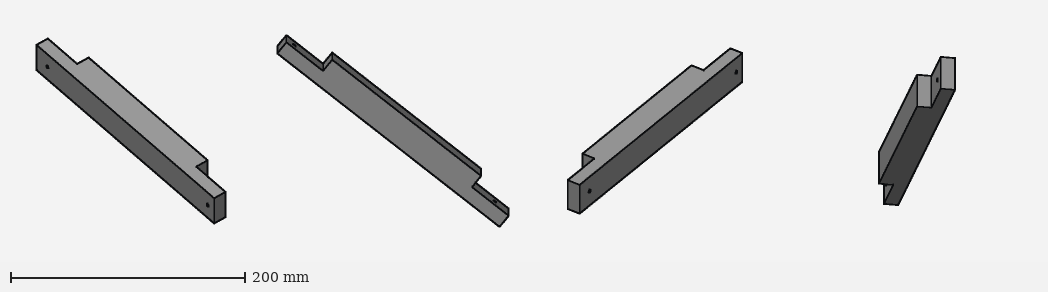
import cadquery as cq

length = 243.0
depth = 25.0
height = 30.0

plate_thickness = depth / 2
end_step = 40.0
block_length = length - 2 * end_step

hole_diameter = 3.0
left_hole_distance = 15.0
right_hole_distance = 9.0
hole_positions = [
    (-length / 2 + left_hole_distance, 0),
    (length / 2 - right_hole_distance, 0),
]


def make_body():
    """Front plate on y = 0 with the centred block reaching back to the full depth."""
    plate = cq.Workplane("XY").box(length, plate_thickness, height, centered=(True, False, True))
    block = cq.Workplane("XY").box(block_length, depth, height, centered=(True, False, True))
    return plate.union(block)


def make_holes():
    """Two cylinders along Y, one near each end of the plate at mid-height."""
    return (
        cq.Workplane("XZ")
        .pushPoints(hole_positions)
        .circle(hole_diameter / 2)
        .extrude(-plate_thickness)
    )


result = make_body().cut(make_holes())